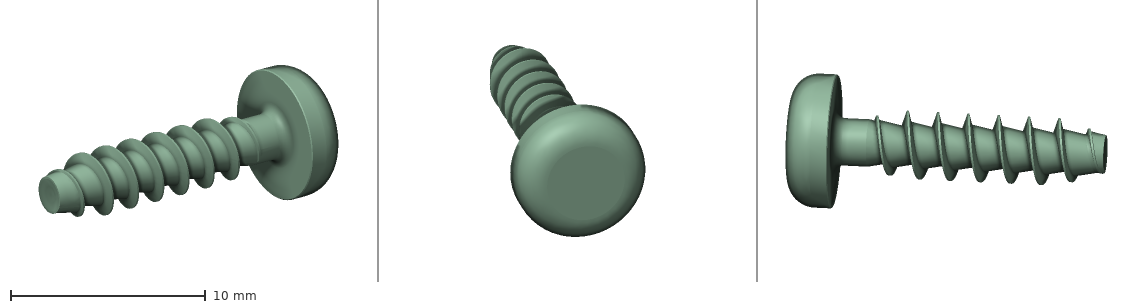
import cadquery as cq
import math


head_diameter = 6.9
head_height = 2.3
head_dome_radius = 1.4
head_rim_chamfer = 0.05

neck_radius = 1.22
neck_length = 1.75
neck_fillet = 0.5

shank_length = 14.0
core_radius = 0.98
core_step_radius = 1.2
tip_dish_radius = 0.87
tip_dish_depth = 0.1

pitch = 1.57
thread_radius = 1.75
thread_crest_width = 0.1
thread_flank_angle = 15.0
thread_root_radius = 0.9
thread_start_radius = 1.26
thread_start_angle = -90.0
thread_turns = 8
run_in_turns = 1.25
run_out_turns = 1.5

head_radius = head_diameter / 2
thread_start_z = shank_length - thread_turns * pitch
thread_height = thread_radius - thread_root_radius
crest_half = thread_crest_width / 2
root_half = crest_half + thread_height * math.tan(math.radians(thread_flank_angle))
step_half = crest_half + (thread_radius - core_step_radius) * math.tan(math.radians(thread_flank_angle))
core_slope = (core_step_radius - core_radius) / (pitch - step_half - root_half)


def revolved(outline):
    """Turn a half outline, drawn in the XZ plane, around the Z axis."""
    return outline.close().revolve(360, (0, 0, 0), (0, 1, 0))


def helix_edge(start_r, end_r, start_z, start_turn, turns):
    """Edge of a helix, counted in turns from the thread start, whose radius changes evenly."""
    height = turns * pitch
    if start_r == end_r:
        wire = cq.Wire.makeHelix(pitch, height, start_r)
    else:
        taper = math.atan2(end_r - start_r, height)
        stretch = 1 / math.cos(taper)
        wire = cq.Wire.makeHelix(pitch * stretch, height * stretch, start_r, angle=math.degrees(taper))
    wire = wire.rotate(cq.Vector(0, 0, 0), cq.Vector(0, 0, 1), thread_start_angle + start_turn * 360)
    wire = wire.translate(cq.Vector(0, 0, thread_start_z + start_turn * pitch + start_z))
    return wire.Edges()[0]


def helical_ridge(stations):
    """Solid wound along the thread; each station is a turn count and its (r, z) polygon."""
    faces = []
    caps = []
    for (turn, profile), (next_turn, next_profile) in zip(stations, stations[1:]):
        helices = [
            helix_edge(r, next_r, z, turn, next_turn - turn)
            for (r, z), (next_r, _) in zip(profile, next_profile)
        ]
        for index, helix in enumerate(helices):
            faces.append(cq.Face.makeRuledSurface(helices[index - 1], helix))
        caps.append([helix.positionAt(0) for helix in helices])
    caps.append([helix.positionAt(1) for helix in helices])
    for corners in (caps[0], caps[-1]):
        faces.append(cq.Face.makeFromWires(cq.Wire.makePolygon(corners, close=True)))
    ridge = cq.Solid.makeSolid(cq.Shell.makeShell(faces)).fix()
    return cq.Workplane(ridge)


def thread_profile(crest_radius):
    """Trapezoid of the thread, moved inwards as a whole where the crest is lower."""
    root_radius = crest_radius - thread_height
    return [
        (root_radius, -root_half),
        (crest_radius, -crest_half),
        (crest_radius, crest_half),
        (root_radius, root_half),
    ]


def make_head_and_neck():
    """Domed head, with the neck filleted into its flat underside."""
    bend = math.sqrt(0.5)
    dome_center_r = head_radius - head_dome_radius
    dome_center_z = head_dome_radius - head_height
    fillet_center_r = neck_radius + neck_fillet
    outline = (
        cq.Workplane("XZ")
        .moveTo(0, -head_height)
        .lineTo(dome_center_r, -head_height)
        .threePointArc(
            (dome_center_r + bend * head_dome_radius, dome_center_z - bend * head_dome_radius),
            (head_radius, dome_center_z),
        )
        .lineTo(head_radius, -head_rim_chamfer)
        .lineTo(head_radius - head_rim_chamfer, 0)
        .lineTo(fillet_center_r, 0)
        .threePointArc(
            (fillet_center_r - bend * neck_fillet, neck_fillet - bend * neck_fillet),
            (neck_radius, neck_fillet),
        )
        .lineTo(neck_radius, neck_length)
        .lineTo(0, neck_length)
    )
    return revolved(outline)


def make_core():
    """Shank core that narrows from each thread turn to the next, with a plain cone at both ends."""
    neck_cone_end = neck_length + (neck_radius - core_radius) / core_slope
    core = revolved(
        cq.Workplane("XZ")
        .moveTo(0, neck_length)
        .lineTo(neck_radius, neck_length)
        .lineTo(core_radius, neck_cone_end)
        .lineTo(core_radius, shank_length)
        .lineTo(0, shank_length)
    )
    wedge_end = pitch - root_half / 2
    wedge = [
        (core_step_radius + core_slope * step_half, 0),
        (core_radius - core_slope * root_half / 2, wedge_end),
        (thread_root_radius, 0),
    ]
    core = core.union(helical_ridge([(turn, wedge) for turn in range(thread_turns + 1)]))
    envelope = revolved(
        cq.Workplane("XZ")
        .moveTo(0, neck_length)
        .lineTo(core_radius + core_slope * (shank_length - neck_length), neck_length)
        .lineTo(core_radius, shank_length)
        .lineTo(0, shank_length)
    )
    return core.intersect(envelope)


def make_thread():
    """Thread that rises out of the neck, runs at full height and sinks into the core at the tip."""
    full_start = run_in_turns
    full_end = thread_turns - run_out_turns
    full_sections = 3
    stations = [(0, thread_profile(thread_start_radius))]
    for section in range(full_sections + 1):
        turn = full_start + section * (full_end - full_start) / full_sections
        stations.append((turn, thread_profile(thread_radius)))
    stations.append((thread_turns, thread_profile(core_radius)))
    thread = helical_ridge(stations)
    threaded_zone = (
        cq.Workplane("XY")
        .workplane(offset=neck_length)
        .circle(head_radius)
        .extrude(shank_length - neck_length)
    )
    return thread.intersect(threaded_zone)


def make_tip_dish():
    """Shallow spherical hollow in the flat end of the tip."""
    sphere_radius = (tip_dish_radius**2 + tip_dish_depth**2) / (2 * tip_dish_depth)
    sphere_center_z = shank_length - tip_dish_depth + sphere_radius
    return cq.Workplane("XY").sphere(sphere_radius).translate((0, 0, sphere_center_z))


screw = make_head_and_neck().union(make_core()).union(make_thread()).cut(make_tip_dish())
result = screw.rotate((0, 0, 0), (1, 0, 0), 90)